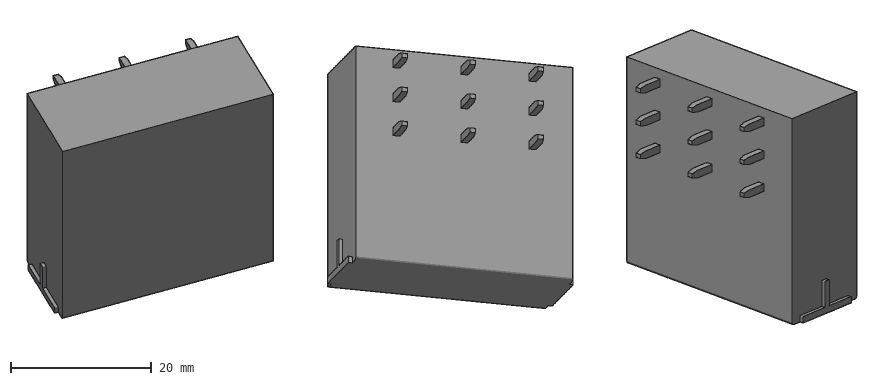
import cadquery as cq

overall_depth = 33.52

case_width = 13.4
case_depth = 32.38
case_height = 32.0
case_bottom_radius = 0.4

pin_length = 4.0
pin_tip_length = 1.0
pin_width = 1.0
pin_height = 1.17
pin_tip_width = 0.8
pin_tip_height = 0.65
pin_column_pitch = 10.15
pin_row_pitch = 5.1
pin_row_count = 3
top_row_drop = 2.1

rib_thickness = (overall_depth - case_depth) / 2
rib_foot_width = 10.05
rib_foot_height = 1.0
rib_stem_width = 1.0
rib_height = 5.03
rib_corner_radius = 0.2


def make_case():
    box = cq.Workplane("XY").box(case_width, case_depth, case_height, centered=(True, True, False))
    return box.edges("|Y and <Z").fillet(case_bottom_radius)


def make_pin(y, z):
    """Pin reaching outward along -X from the case, centred on (y, z)."""
    shank_length = pin_length - pin_tip_length
    base = cq.Plane(origin=(-case_width / 2, y, z), xDir=(0, -1, 0), normal=(-1, 0, 0))
    shank = cq.Workplane(base).rect(pin_width, pin_height).extrude(shank_length)
    tip = (
        cq.Workplane(base)
        .workplane(offset=shank_length)
        .rect(pin_width, pin_height)
        .workplane(offset=pin_tip_length)
        .rect(pin_tip_width, pin_tip_height)
        .loft(ruled=True)
    )
    return shank.union(tip)


def make_rib_bar(width, height):
    """Upright bar on the -Y face with its two upper corners rounded."""
    bar = cq.Workplane("XY").box(width, rib_thickness, height, centered=(True, False, False))
    bar = bar.edges("|Y and >Z").fillet(rib_corner_radius)
    return bar.translate((0, -case_depth / 2 - rib_thickness, 0))


def make_rib():
    foot = make_rib_bar(rib_foot_width, rib_foot_height)
    stem = make_rib_bar(rib_stem_width, rib_height)
    return foot.union(stem)


result = make_case()

for column in (-1, 0, 1):
    for row in range(pin_row_count):
        pin_z = case_height - top_row_drop - row * pin_row_pitch
        result = result.union(make_pin(column * pin_column_pitch, pin_z))

front_rib = make_rib()
result = result.union(front_rib).union(front_rib.mirror("XZ"))